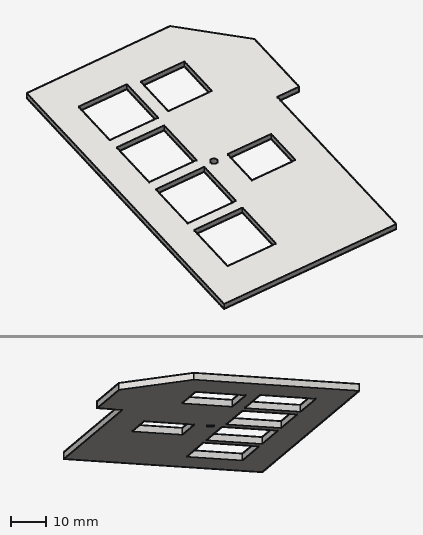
import cadquery as cq

length = 102.2
width = 66.1
thickness = 2.0
left_edge_inset = 0.2
corner_cut_x = 17.6
corner_cut_y = 17.2
tab_right = 40.7
shoulder_height = 58.6

row_bottom = 9.3
row_height = 16.4
short_row_height = 16.1
row_windows = [
    (12.9, 16.1, row_height),
    (32.6, 16.8, short_row_height),
    (52.8, 16.4, row_height),
    (72.5, 17.4, row_height),
]

upper_height = 14.8
upper_windows = [
    (14.2, 29.6, 14.2),
    (52.2, 34.1, 12.6),
]

hole_diameter = 2.1
hole_x = 52.4
hole_y = 29.3


def make_plate():
    outline = [
        (left_edge_inset, 0),
        (length, 0),
        (length, shoulder_height),
        (tab_right, shoulder_height),
        (tab_right, width),
        (corner_cut_x, width),
        (0, width - corner_cut_y),
    ]
    return cq.Workplane("XY").polyline(outline).close().extrude(thickness)


def window_cutter(left, bottom, size_x, size_y):
    return (
        cq.Workplane("XY")
        .box(size_x, size_y, thickness, centered=False)
        .translate((left, bottom, 0))
    )


result = make_plate()

for left, size_x, size_y in row_windows:
    result = result.cut(window_cutter(left, row_bottom, size_x, size_y))

for left, bottom, size_x in upper_windows:
    result = result.cut(window_cutter(left, bottom, size_x, upper_height))

hole_cutter = (
    cq.Workplane("XY")
    .center(hole_x, hole_y)
    .circle(hole_diameter / 2)
    .extrude(thickness)
)
result = result.cut(hole_cutter)